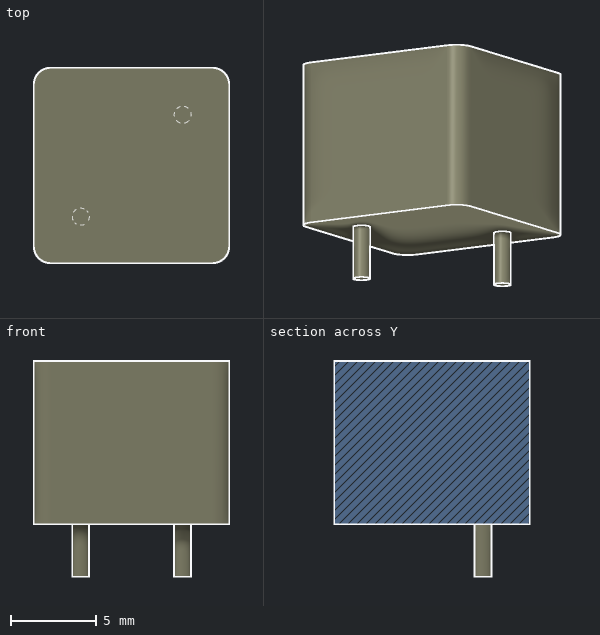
import cadquery as cq

total_height = 12.7
body_width = 11.5
body_height = 9.6
corner_radius = 1.0
pin_diameter = 1.0
pin_pitch = 6.0

pin_length = total_height - body_height
pin_offset = pin_pitch / 2

body = (
    cq.Workplane("XY")
    .rect(body_width, body_width)
    .extrude(body_height)
    .edges("|Z")
    .fillet(corner_radius)
)

pins = (
    cq.Workplane("XY")
    .pushPoints([(-pin_offset, -pin_offset), (pin_offset, pin_offset)])
    .circle(pin_diameter / 2)
    .extrude(-pin_length)
)

result = body.union(pins)